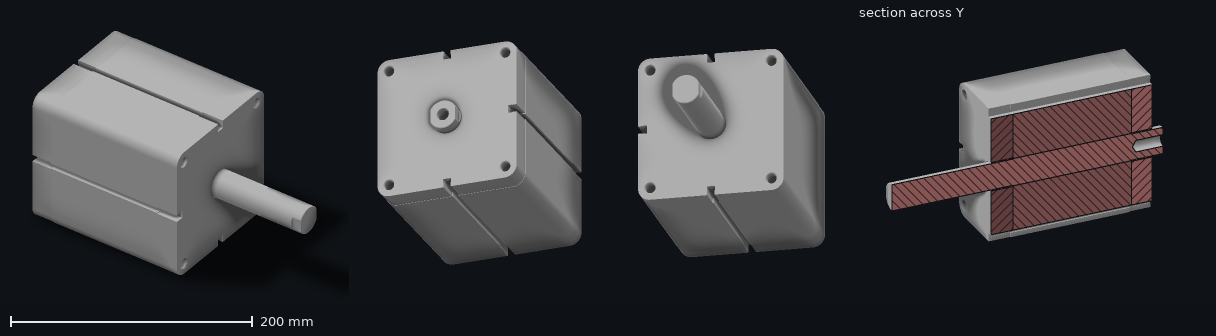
import cadquery as cq
import math

total_length = 247.0
tube_side = 124.0
rear_cap_setback = 0.22
rear_cap_side = tube_side - 2 * rear_cap_setback
corner_radius = 10.4

rod_start = -total_length / 2
rear_overhang = 10.0
rear_cap_length = 19.3
tube_length = 108.0
front_cap_length = 20.0
rear_cap_start = rod_start + rear_overhang
tube_start = rear_cap_start + rear_cap_length
front_cap_start = tube_start + tube_length

rod_diameter = 25.0
rod_chamfer = 0.5
flat_width = 22.0
flat_length = 8.5
flat_run_out = 1.0
thread_hole_diameter = 10.4
thread_hole_chamfer = 0.5
thread_hole_depth = 24.7
drill_point_angle = 118.0
cap_bore_diameter = 26.2

bolt_pitch = tube_side - 2 * corner_radius
bolt_hole_diameter = 8.6
bolt_hole_chamfer = 0.7

slot_depth = 7.7
slot_width = 7.0
cap_mouth_width = 6.5
tube_mouth_width = 5.0
slot_lip_thickness = 4.2
slot_angles = (0, 90, 180)


def square_block(start, length, side):
    """Block of square section with rounded edges along X."""
    block = cq.Workplane("YZ").workplane(offset=start).rect(side, side).extrude(length)
    return block.edges("|X").fillet(corner_radius)


def bore_along_x(block, diameter):
    return block.faces("<X").workplane(origin=(0, 0, 0)).hole(diameter)


def drill_bolt_holes(block):
    face = block.faces("<X").workplane(origin=(0, 0, 0))
    return face.rarray(bolt_pitch, bolt_pitch, 2, 2).hole(bolt_hole_diameter)


def chamfer_bolt_holes(cap, outer_face):
    """Chamfer the bolt holes where they open on the outer end face."""
    smallest_radius = cq.selectors.RadiusNthSelector(0)
    return cap.faces(outer_face).edges("%CIRCLE").edges(smallest_radius).chamfer(bolt_hole_chamfer)


def cut_groove(block, start, length, width, outer_depth, inner_depth):
    """Cut one groove between two depths below the tube surface, on each slotted side."""
    height = inner_depth - outer_depth
    centre_z = -tube_side / 2 + (inner_depth + outer_depth) / 2
    groove = cq.Workplane("XY").box(length, width, height).translate((start + length / 2, 0, centre_z))
    for angle in slot_angles:
        block = block.cut(groove.rotate((0, 0, 0), (1, 0, 0), -angle))
    return block


def cut_sensor_slots(block, start, length, mouth_width):
    """T-slots: a mouth through the lip and a wider pocket under it."""
    block = cut_groove(block, start, length, mouth_width, 0, slot_lip_thickness)
    return cut_groove(block, start, length, slot_width, slot_lip_thickness, slot_depth)


def make_cap(start, length, side, outer_face):
    cap = square_block(start, length, side)
    cap = drill_bolt_holes(cap)
    cap = chamfer_bolt_holes(cap, outer_face)
    cap = bore_along_x(cap, cap_bore_diameter)
    return cut_sensor_slots(cap, start, length, cap_mouth_width)


def make_tube():
    tube = square_block(tube_start, tube_length, tube_side)
    tube = bore_along_x(tube, rod_diameter)
    tube = drill_bolt_holes(tube)
    return cut_sensor_slots(tube, tube_start, tube_length, tube_mouth_width)


def make_rod():
    rod = cq.Workplane("YZ").workplane(offset=rod_start).circle(rod_diameter / 2).extrude(total_length)
    rod = rod.faces("<X or >X").chamfer(rod_chamfer)
    rod = cut_wrench_flats(rod)
    return cut_thread_hole(rod)


def cut_wrench_flats(rod):
    """Two flats at each end; each flat slopes out to the round rod at its inner end."""
    flat_y = flat_width / 2
    outer_y = rod_diameter / 2
    end_x = total_length / 2
    flat_end_x = end_x - flat_length
    profile = [
        (end_x, flat_y),
        (end_x, outer_y),
        (flat_end_x - flat_run_out, outer_y),
        (flat_end_x, flat_y),
    ]
    for x_sign in (-1, 1):
        for y_sign in (-1, 1):
            points = [(x_sign * x, y_sign * y) for x, y in profile]
            rod = rod.cut(cq.Workplane("XY").polyline(points).close().extrude(outer_y, both=True))
    return rod


def cut_thread_hole(rod):
    """Blind hole with a drill-point bottom in the -X end."""
    radius = thread_hole_diameter / 2
    bottom_x = rod_start + thread_hole_depth
    tip_x = bottom_x + radius / math.tan(math.radians(drill_point_angle / 2))
    half_section = [
        (rod_start, 0),
        (rod_start, radius + thread_hole_chamfer),
        (rod_start + thread_hole_chamfer, radius),
        (bottom_x, radius),
        (tip_x, 0),
    ]
    hole = cq.Workplane("XY").polyline(half_section).close().revolve(360, (0, 0, 0), (1, 0, 0))
    return rod.cut(hole)


rear_cap = make_cap(rear_cap_start, rear_cap_length, rear_cap_side, "<X")
tube = make_tube()
front_cap = make_cap(front_cap_start, front_cap_length, tube_side, ">X")
rod = make_rod()

result = cq.Compound.makeCompound([rear_cap.val(), tube.val(), front_cap.val(), rod.val()])